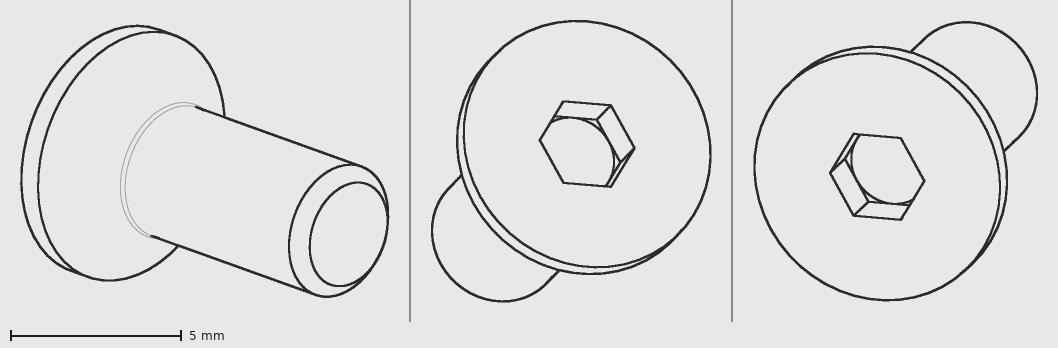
import cadquery as cq
import math

total_length = 10.0
head_diameter = 7.53
head_rim_length = 0.72
shank_diameter = 4.0
tip_diameter = 3.14
neck_fillet_radius = 0.2

hexagon_sides = 6
socket_across_flats = 2.5
socket_depth = 1.5
drill_point_angle = 120.0

head_radius = head_diameter / 2
shank_radius = shank_diameter / 2
tip_radius = tip_diameter / 2
head_length = head_rim_length + head_radius - shank_radius
tip_chamfer = shank_radius - tip_radius


def make_body():
    """Revolve the half profile about the X axis and round the neck under the head."""
    profile = [
        (0, 0),
        (0, head_radius),
        (head_rim_length, head_radius),
        (head_length, shank_radius),
        (total_length - tip_chamfer, shank_radius),
        (total_length, tip_radius),
        (total_length, 0),
    ]
    body = cq.Workplane("XZ").polyline(profile).close().revolve(360, (0, 0, 0), (1, 0, 0))
    neck_slab = cq.selectors.BoxSelector(
        (head_length - neck_fillet_radius, -head_radius, -head_radius),
        (head_length + neck_fillet_radius, head_radius, head_radius),
    )
    return body.edges("%CIRCLE").edges(neck_slab).fillet(neck_fillet_radius)


def make_socket():
    """Hexagonal prism, corners along Y, ending in a drill-point cone."""
    across_corners = socket_across_flats / math.cos(math.pi / hexagon_sides)
    prism = cq.Workplane("YZ").polygon(hexagon_sides, across_corners).extrude(socket_depth)
    drill_radius = socket_across_flats / 2
    point_depth = drill_radius / math.tan(math.radians(drill_point_angle / 2))
    drill_point = cq.Solid.makeCone(
        drill_radius,
        0,
        point_depth,
        pnt=cq.Vector(socket_depth, 0, 0),
        dir=cq.Vector(1, 0, 0),
    )
    return prism.union(cq.Workplane(obj=drill_point))


result = make_body().cut(make_socket())